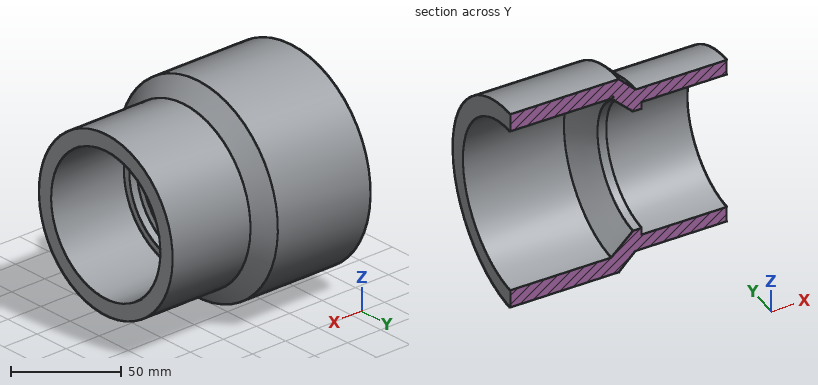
import cadquery as cq

total_length = 112.0
wide_diameter = 110.0
narrow_diameter = 92.0
wide_length = 56.2
taper_length = 8.6

wide_socket_diameter = 90.0
wide_socket_depth = 52.2
throat_diameter = 67.5
narrow_socket_diameter = 75.0
narrow_socket_depth = 44.0

wide_radius = wide_diameter / 2
narrow_radius = narrow_diameter / 2
wide_socket_radius = wide_socket_diameter / 2
throat_radius = throat_diameter / 2
narrow_socket_radius = narrow_socket_diameter / 2
taper_end = wide_length + taper_length
throat_start = wide_socket_depth + wide_socket_radius - throat_radius
narrow_socket_floor = total_length - narrow_socket_depth

wall_section = (
    cq.Workplane("XZ")
    .moveTo(0, wide_radius)
    .lineTo(wide_length, wide_radius)
    .lineTo(taper_end, narrow_radius)
    .lineTo(total_length, narrow_radius)
    .lineTo(total_length, narrow_socket_radius)
    .lineTo(narrow_socket_floor, narrow_socket_radius)
    .lineTo(narrow_socket_floor, throat_radius)
    .lineTo(throat_start, throat_radius)
    .lineTo(wide_socket_depth, wide_socket_radius)
    .lineTo(0, wide_socket_radius)
    .close()
)

reducer = wall_section.revolve(360, (0, 0, 0), (1, 0, 0))

result = reducer.translate((-total_length / 2, 0, 0))